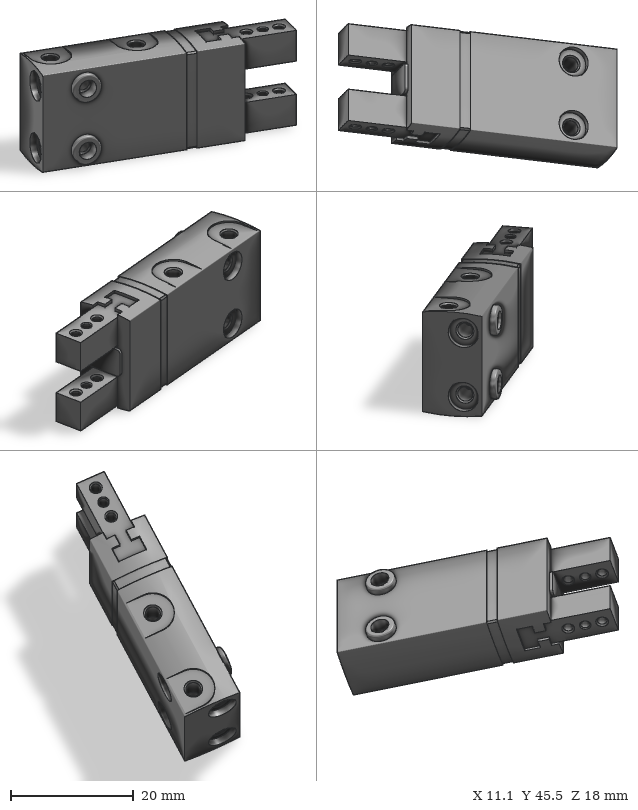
import cadquery as cq
import math

TOTAL_LENGTH = 45.5

WIDTH = 10.0
CROWN_HEIGHT = 17.95
SIDE_HEIGHT = 17.2
HOUSING_LENGTH = 35.5
EDGE_ROUNDING = 0.15
BAND_START = 25.3
BAND_END = 27.05
BAND_INSET = 0.1
BAND_CHAMFER = 0.27

NOSE_WIDTH = 6.75
NOSE_HEIGHT = 5.0
NOSE_RISE = 0.5
NOSE_CORNER_RADIUS = 0.65

JAW_WIDTH = 5.0
JAW_INNER_Z = 2.95
JAW_OUTER_Z = 8.4
JAW_REAR_Y = 29.65
NECK_WIDTH = 2.0
NECK_START = 32.3
NECK_END = 34.2
JAW_FOOT_FILLET = 0.27
JAW_SCREW_DIAMETER = 1.55
JAW_SCREW_MOUTH = 2.1
JAW_PIN_DIAMETER = 1.5
JAW_PIN_MOUTH = 1.85
JAW_HOLE_TIP_DISTANCE = 2.05
JAW_HOLE_PITCH = 2.85

THREAD_DIAMETER = 2.45
THREAD_MOUTH = 3.0

MOUNT_Z = 5.5
SIDE_MOUNT_Y = 7.5
REAR_MOUNT_X = 1.8
SLEEVE_DIAMETER = 5.0
SLEEVE_SEAT_DEPTH = 1.2

SLEEVE_PROTRUSION = 1.1
SLEEVE_BORE = THREAD_MOUTH
SLEEVE_ROUNDING = 0.4

PORT_X = -1.55
PORT_Y = (3.9, 19.0)
PORT_FLAT_RADIUS = 3.5
PORT_FLAT_DEPTH = 0.328
PORT_DEPTH = 4.0
DRILL_POINT_ANGLE = 118.0

HALF_WIDTH = WIDTH / 2
CROWN_Z = CROWN_HEIGHT / 2
ALONG_X = cq.Vector(1, 0, 0)
ALONG_Y = cq.Vector(0, 1, 0)
ALONG_Z = cq.Vector(0, 0, 1)


def cylinder(start, direction, diameter, length):
    """Cylinder that runs from a start point along a direction."""
    return cq.Workplane(obj=cq.Solid.makeCylinder(diameter / 2, length, start, direction))


def mouth_chamfer(start, direction, mouth_diameter, hole_diameter):
    """45 degree cone that opens a hole to its mouth diameter at the start point."""
    depth = (mouth_diameter - hole_diameter) / 2
    cone = cq.Solid.makeCone(mouth_diameter / 2, hole_diameter / 2, depth, start, direction)
    return cq.Workplane(obj=cone)


def crowned_block(start_y, end_y, inset):
    """Block with flat sides and arched faces, all inset equally, with its long edges selected."""
    half_width = HALF_WIDTH - inset
    side_z = SIDE_HEIGHT / 2 - inset
    crown_z = CROWN_Z - inset
    return (
        cq.Workplane("XZ", origin=(0, start_y, 0))
        .moveTo(-half_width, -side_z)
        .lineTo(-half_width, side_z)
        .threePointArc((0, crown_z), (half_width, side_z))
        .lineTo(half_width, -side_z)
        .threePointArc((0, -crown_z), (-half_width, -side_z))
        .close()
        .extrude(start_y - end_y)
        .edges("|Y")
    )


def nose_plate():
    return (
        cq.Workplane("XZ", origin=(0, HOUSING_LENGTH, 0))
        .rect(NOSE_WIDTH, NOSE_HEIGHT)
        .extrude(-NOSE_RISE)
        .edges("|Y")
        .fillet(NOSE_CORNER_RADIUS)
    )


def mounting_hole(start, direction, length):
    """Threaded hole at the bottom of a sleeve seat, starting at the outer face."""
    seat_floor = start + direction * SLEEVE_SEAT_DEPTH
    seat = cylinder(start, direction, SLEEVE_DIAMETER, SLEEVE_SEAT_DEPTH)
    mouth = mouth_chamfer(seat_floor, direction, THREAD_MOUTH, THREAD_DIAMETER)
    return seat.union(mouth).union(cylinder(start, direction, THREAD_DIAMETER, length))


def air_port(port_y):
    """D-shaped flat, open towards the left side, with a blind threaded hole."""
    flat_z = CROWN_Z - PORT_FLAT_DEPTH
    flat = (
        cq.Workplane("XY", origin=(0, port_y, flat_z))
        .moveTo(-HALF_WIDTH, -PORT_FLAT_RADIUS)
        .lineTo(PORT_X, -PORT_FLAT_RADIUS)
        .threePointArc((PORT_X + PORT_FLAT_RADIUS, 0), (PORT_X, PORT_FLAT_RADIUS))
        .lineTo(-HALF_WIDTH, PORT_FLAT_RADIUS)
        .close()
        .extrude(PORT_FLAT_DEPTH)
    )
    top = cq.Vector(PORT_X, port_y, flat_z)
    hole = cylinder(top, -ALONG_Z, THREAD_DIAMETER, PORT_DEPTH)
    mouth = mouth_chamfer(top, -ALONG_Z, THREAD_MOUTH, THREAD_DIAMETER)
    point_depth = THREAD_DIAMETER / 2 / math.tan(math.radians(DRILL_POINT_ANGLE / 2))
    point = cq.Solid.makeCone(THREAD_DIAMETER / 2, 0, point_depth, top - ALONG_Z * PORT_DEPTH, -ALONG_Z)
    return flat.union(hole).union(mouth).union(cq.Workplane(obj=point))


def make_housing():
    housing = (
        crowned_block(0, BAND_START, 0).fillet(EDGE_ROUNDING)
        .union(crowned_block(BAND_START, BAND_END, BAND_INSET).chamfer(BAND_CHAMFER))
        .union(crowned_block(BAND_END, HOUSING_LENGTH, 0).fillet(EDGE_ROUNDING))
        .union(nose_plate())
    )
    for side in (-1, 1):
        slot = jaw_profile(HOUSING_LENGTH).extrude(CROWN_Z - JAW_INNER_Z)
        housing = housing.cut(slot if side > 0 else slot.mirror("XY"))

        mount_z = side * MOUNT_Z
        left = cq.Vector(-HALF_WIDTH, SIDE_MOUNT_Y, mount_z)
        right = cq.Vector(HALF_WIDTH, SIDE_MOUNT_Y, mount_z)
        rear = cq.Vector(REAR_MOUNT_X, 0, mount_z)
        housing = (
            housing.cut(mounting_hole(left, ALONG_X, WIDTH))
            .cut(mounting_hole(right, -ALONG_X, HALF_WIDTH))
            .cut(mounting_hole(rear, ALONG_Y, SIDE_MOUNT_Y))
        )
    for port_y in PORT_Y:
        housing = housing.cut(air_port(port_y))
    return housing


def jaw_profile(tip_y):
    """Outline of an upper jaw, waisted at the neck, on its inner plane."""
    half = JAW_WIDTH / 2
    half_neck = NECK_WIDTH / 2
    return (
        cq.Workplane("XY", origin=(0, 0, JAW_INNER_Z))
        .moveTo(0, JAW_REAR_Y)
        .lineTo(half, JAW_REAR_Y)
        .lineTo(half, NECK_START)
        .lineTo(half_neck, NECK_START)
        .lineTo(half_neck, NECK_END)
        .lineTo(half, NECK_END)
        .lineTo(half, tip_y)
        .lineTo(0, tip_y)
        .mirrorY()
    )


def jaw_foot():
    """Concave fillet between the inner face of the jaw and the front face of the housing."""
    foot_y = HOUSING_LENGTH + JAW_FOOT_FILLET
    foot_z = JAW_INNER_Z - JAW_FOOT_FILLET
    bulge = JAW_FOOT_FILLET * math.sqrt(0.5)
    return (
        cq.Workplane("YZ")
        .moveTo(HOUSING_LENGTH, JAW_INNER_Z)
        .lineTo(HOUSING_LENGTH, foot_z)
        .threePointArc((foot_y - bulge, foot_z + bulge), (foot_y, JAW_INNER_Z))
        .close()
        .extrude(JAW_WIDTH / 2, both=True)
    )


def jaw_hole(hole_y, diameter, mouth):
    """Through hole chamfered at both ends."""
    inner = cq.Vector(0, hole_y, JAW_INNER_Z)
    outer = cq.Vector(0, hole_y, JAW_OUTER_Z)
    return (
        cylinder(inner, ALONG_Z, diameter, JAW_OUTER_Z - JAW_INNER_Z)
        .union(mouth_chamfer(inner, ALONG_Z, mouth, diameter))
        .union(mouth_chamfer(outer, -ALONG_Z, mouth, diameter))
    )


def make_jaw(side):
    """Jaw above (side 1) or below (side -1) the middle plane."""
    jaw = jaw_profile(TOTAL_LENGTH).extrude(JAW_OUTER_Z - JAW_INNER_Z).union(jaw_foot())
    first_hole_y = TOTAL_LENGTH - JAW_HOLE_TIP_DISTANCE
    holes = (
        (JAW_SCREW_DIAMETER, JAW_SCREW_MOUTH),
        (JAW_PIN_DIAMETER, JAW_PIN_MOUTH),
        (JAW_SCREW_DIAMETER, JAW_SCREW_MOUTH),
    )
    for index, (diameter, mouth) in enumerate(holes):
        jaw = jaw.cut(jaw_hole(first_hole_y - index * JAW_HOLE_PITCH, diameter, mouth))
    return jaw if side > 0 else jaw.mirror("XY")


def make_sleeve(side):
    """Ring seated in the right side, above (side 1) or below (side -1) the middle plane."""
    seat_floor = (HALF_WIDTH - SLEEVE_SEAT_DEPTH, SIDE_MOUNT_Y, side * MOUNT_Z)
    return (
        cq.Workplane("YZ", origin=seat_floor)
        .circle(SLEEVE_DIAMETER / 2)
        .extrude(SLEEVE_SEAT_DEPTH + SLEEVE_PROTRUSION)
        .faces(">X")
        .edges()
        .fillet(SLEEVE_ROUNDING)
        .faces(">X")
        .workplane()
        .hole(SLEEVE_BORE)
    )


housing = make_housing()
jaws = [make_jaw(side) for side in (1, -1)]
sleeves = [make_sleeve(side) for side in (1, -1)]

result = cq.Compound.makeCompound(
    [
        housing.val(),
        *[jaw.val() for jaw in jaws],
        *[sleeve.val() for sleeve in sleeves],
    ]
)